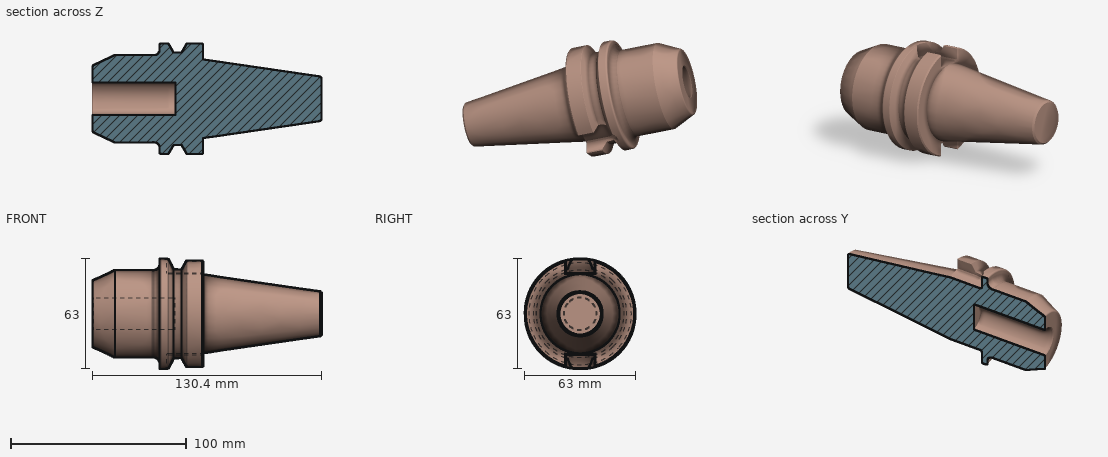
import cadquery as cq
import math


gauge_radius = 44.45 / 2
taper_length = 65.4
taper_slope = 7 / 48
taper_end_chamfer = 1.0

flange_radius = 63 / 2
flange_front_x = -27.0
flange_rear_x = -2.0
flange_front_fillet = 1.0
flange_rear_chamfer = 0.7
groove_centre_x = -16.6
groove_floor_radius = 53 / 2
groove_floor_width = 4.5
groove_flank_angle = 30.0
groove_edge_fillet = 0.4

nose_x = -65.0
body_radius = 50 / 2
neck_radius = 49.8 / 2
neck_start_x = -31.0
neck_step_length = 0.4
neck_fillet = 3.2
face_relief_depth = 0.1
face_relief_radius = 29.1
nose_face_radius = 19.0
nose_cone_length = 12.75
nose_edge_fillet = 1.0

bore_radius = 18 / 2
bore_depth = 47.0
bore_chamfer = 0.5

slot_width = 16.1
slot_floor_height = 22.5
slot_end_x = -23.0
slot_floor_chamfer = 0.8
slot_edge_chamfer = 0.6
slot_end_countersink = 0.65
slot_half_width = slot_width / 2
slot_centre_x = slot_end_x + slot_half_width


def taper_radius(x):
    return gauge_radius - taper_slope * x


def turned_edge(body, x, radius):
    """The circular edge of the given radius at the given X."""

    def matches(edge):
        return math.isclose(edge.Center().x, x) and math.isclose(edge.radius(), radius)

    return body.edges("%CIRCLE").filter(matches)


def turned_body():
    flank_length = (flange_radius - groove_floor_radius) * math.tan(math.radians(groove_flank_angle))
    floor_front_x = groove_centre_x - groove_floor_width / 2
    floor_rear_x = groove_centre_x + groove_floor_width / 2
    fillet_mid_offset = neck_fillet * (1 - math.cos(math.radians(45)))
    relief_x = flange_front_x + face_relief_depth
    chamfer_start_x = taper_length - taper_end_chamfer
    profile = (
        cq.Workplane("XY")
        .moveTo(nose_x, 0)
        .lineTo(nose_x, nose_face_radius)
        .lineTo(nose_x + nose_cone_length, body_radius)
        .lineTo(neck_start_x, body_radius)
        .lineTo(neck_start_x + neck_step_length, neck_radius)
        .lineTo(relief_x - neck_fillet, neck_radius)
        .threePointArc(
            (relief_x - fillet_mid_offset, neck_radius + fillet_mid_offset),
            (relief_x, neck_radius + neck_fillet),
        )
        .lineTo(relief_x, face_relief_radius)
        .lineTo(flange_front_x, face_relief_radius)
        .lineTo(flange_front_x, flange_radius)
        .lineTo(floor_front_x - flank_length, flange_radius)
        .lineTo(floor_front_x, groove_floor_radius)
        .lineTo(floor_rear_x, groove_floor_radius)
        .lineTo(floor_rear_x + flank_length, flange_radius)
        .lineTo(flange_rear_x - flange_rear_chamfer, flange_radius)
        .lineTo(flange_rear_x, flange_radius - flange_rear_chamfer)
        .lineTo(flange_rear_x, taper_radius(flange_rear_x))
        .lineTo(chamfer_start_x, taper_radius(chamfer_start_x))
        .lineTo(taper_length, taper_radius(chamfer_start_x) - taper_end_chamfer)
        .lineTo(taper_length, 0)
        .close()
    )
    body = profile.revolve(360, (0, 0, 0), (1, 0, 0))
    body = turned_edge(body, flange_front_x, flange_radius).fillet(flange_front_fillet)
    for groove_edge_x in (floor_front_x - flank_length, floor_rear_x + flank_length):
        body = turned_edge(body, groove_edge_x, flange_radius).fillet(groove_edge_fillet)
    return turned_edge(body, nose_x, nose_face_radius).fillet(nose_edge_fillet)


def bore():
    hole = cq.Workplane("YZ", origin=(nose_x, 0, 0)).circle(bore_radius).extrude(bore_depth)
    mouth = cq.Solid.makeCone(
        bore_radius + bore_chamfer, bore_radius, bore_chamfer, cq.Vector(nose_x, 0, 0), cq.Vector(1, 0, 0)
    )
    return hole.union(cq.Workplane(mouth))


def slot_channel():
    """Round-ended slot on the +Z side, open to the rear, with a chamfer left along its floor."""
    outline = (
        cq.Workplane("XY", origin=(0, 0, slot_floor_height))
        .moveTo(flange_rear_x, -slot_half_width)
        .lineTo(slot_centre_x, -slot_half_width)
        .threePointArc((slot_end_x, 0), (slot_centre_x, slot_half_width))
        .lineTo(flange_rear_x, slot_half_width)
        .close()
    )
    channel = outline.extrude(flange_radius - slot_floor_height)
    return channel.faces("<Z").edges("not(>X)").chamfer(slot_floor_chamfer)


def slot_top_chamfers():
    """Wedge that bevels both top edges of the slot through the rear collar."""
    wall_top = math.sqrt(flange_radius**2 - slot_half_width**2)
    bottom = wall_top - slot_edge_chamfer
    rise = flange_radius - bottom
    wedge = cq.Workplane("YZ", origin=(groove_centre_x, 0, 0)).polyline(
        [
            (-slot_half_width, bottom),
            (slot_half_width, bottom),
            (slot_half_width + rise, flange_radius),
            (-slot_half_width - rise, flange_radius),
        ]
    )
    return wedge.close().extrude(flange_rear_x - groove_centre_x)


def slot_rear_chamfers():
    """Wedge that bevels both upright corners where the slot opens to the rear."""
    wedge = cq.Workplane("XY", origin=(0, 0, slot_floor_height)).polyline(
        [
            (flange_rear_x - slot_edge_chamfer, -slot_half_width),
            (flange_rear_x, -slot_half_width - slot_edge_chamfer),
            (flange_rear_x, slot_half_width + slot_edge_chamfer),
            (flange_rear_x - slot_edge_chamfer, slot_half_width),
        ]
    )
    return wedge.close().extrude(flange_radius - slot_floor_height)


def slot_end_bevel():
    """45 degree countersink around the round end of the slot."""
    cone = cq.Solid.makeCone(
        slot_half_width,
        slot_half_width + slot_end_countersink,
        slot_end_countersink,
        cq.Vector(slot_centre_x, 0, flange_radius - slot_end_countersink),
        cq.Vector(0, 0, 1),
    )
    rear_half = cq.Workplane("XY", origin=(slot_centre_x, 0, 0)).box(
        flange_radius, 2 * flange_radius, 2 * flange_radius, centered=(False, True, True)
    )
    return cq.Workplane(cone).cut(rear_half)


holder = turned_body().cut(bore())
slot_cuts = (slot_channel(), slot_top_chamfers(), slot_rear_chamfers(), slot_end_bevel())
for angle in (0, 180):
    for slot_cut in slot_cuts:
        holder = holder.cut(slot_cut.rotate((0, 0, 0), (1, 0, 0), angle))

result = holder